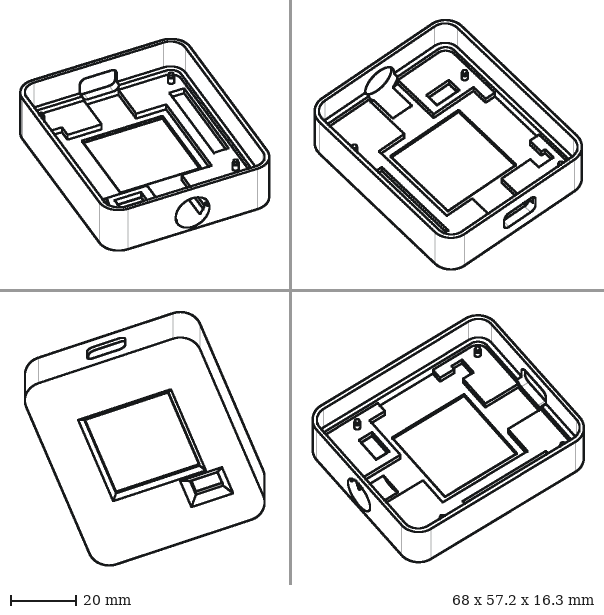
import cadquery as cq

length = 68.0
width = 57.2
height = 16.3
end_wall = 1.3
side_wall = 1.5
lining = 3.0
corner_radius = 6.5
cavity_radius = 5.0
floor_radius = 3.55
cavity_length = length - 2 * lining
cavity_width = width - 2 * lining

floor_level = 4.5
recess_level = 2.5
ledge_level = 6.3

window_size = 27.5
window_x = -2.4
recess_left = -18.4
recess_right = 13.95
recess_top = 16.1
recess_bottom = -21.9
outlet_left = -12.9
outlet_right = 8.1
notch_left = -22.45
notch_bottom = -23.4
notch_top = -17.5
channel_width = 11.75
window_lip = 1.0

strip_left = -23.0
strip_right = 8.7
strip_bottom = 19.4
strip_top = 24.4
switch_left = 15.9
switch_right = 20.95
switch_bottom = -17.9
switch_top = -8.9
switch_lip = 2.1

bore_diameter = 11.5
bore_level = 6.8
bore_start = 21.9
port_width = 12.6
port_y = -0.15
port_bottom = 4.5
port_top = 11.55
port_radius = 2.0

pin_diameter = 2.0
pin_tip_diameter = 1.4
pin_shoulder = 2.1
pin_tip = 1.0
pin_x_positions = (-27.5, 18.4)
pin_y = 22.2


def block(left, right, front, back, bottom, top):
    """Box given by its limits along X, Y and Z."""
    size = (right - left, back - front, top - bottom)
    return cq.Workplane("XY").box(*size, centered=False).translate((left, front, bottom))


def rounded_block(end_inset, side_inset, radius, bottom):
    """Rounded rectangle set in from the case outline, running from bottom to the rim."""
    return (
        cq.Workplane("XY", origin=(0, 0, bottom))
        .rect(length - 2 * end_inset, width - 2 * side_inset)
        .extrude(height - bottom)
        .edges("|Z")
        .fillet(radius)
    )


def recess(left, right, front, back):
    """Pocket from the recess level up through the main floor."""
    return block(left, right, front, back, recess_level, floor_level)


def flared_opening(left, right, front, back, flare_height):
    """Rectangular opening that widens at 45 degrees from flare_height down to the underside."""
    middle_x = (left + right) / 2
    middle_y = (front + back) / 2
    flare = (
        cq.Workplane("XY", origin=(middle_x, middle_y, 0))
        .rect(right - left + 2 * flare_height, back - front + 2 * flare_height)
        .workplane(offset=flare_height)
        .rect(right - left, back - front)
        .loft(ruled=True)
    )
    return flare.union(block(left, right, front, back, flare_height, floor_level))


def pin(x, y):
    """Locating pin with a narrower tip."""
    shoulder = cq.Workplane("XY", origin=(x, y, floor_level)).circle(pin_diameter / 2).extrude(pin_shoulder)
    return shoulder.faces(">Z").workplane().circle(pin_tip_diameter / 2).extrude(pin_tip)


case = rounded_block(0, 0, corner_radius, 0)
case = case.cut(rounded_block(end_wall, side_wall, cavity_radius, ledge_level))
case = case.cut(rounded_block(lining, lining, floor_radius, floor_level))

half_cavity = cavity_length / 2
half_channel = channel_width / 2
case = case.cut(recess(recess_left, recess_right, recess_bottom, recess_top))
case = case.cut(recess(outlet_left, outlet_right, -cavity_width / 2, recess_bottom))
case = case.cut(recess(notch_left, recess_left, notch_bottom, notch_top))
case = case.cut(recess(-half_cavity, half_cavity, -half_channel, half_channel))
case = case.cut(recess(strip_left, strip_right, strip_bottom, strip_top))

half_window = window_size / 2
window_left = window_x - half_window
window_right = window_x + half_window
case = case.cut(
    flared_opening(window_left, window_right, -half_window, half_window, recess_level - window_lip)
)
case = case.cut(
    flared_opening(switch_left, switch_right, switch_bottom, switch_top, floor_level - switch_lip)
)

bore = (
    cq.Workplane("YZ", origin=(bore_start, 0, bore_level))
    .circle(bore_diameter / 2)
    .extrude(length / 2 - bore_start)
)
case = case.cut(bore)

port_front = port_y - port_width / 2
port_back = port_y + port_width / 2
port = block(-length / 2, -half_cavity, port_front, port_back, port_bottom, port_top)
case = case.cut(port.edges("|X").fillet(port_radius))

for pin_x in pin_x_positions:
    for side in (-1, 1):
        case = case.union(pin(pin_x, side * pin_y))

result = case